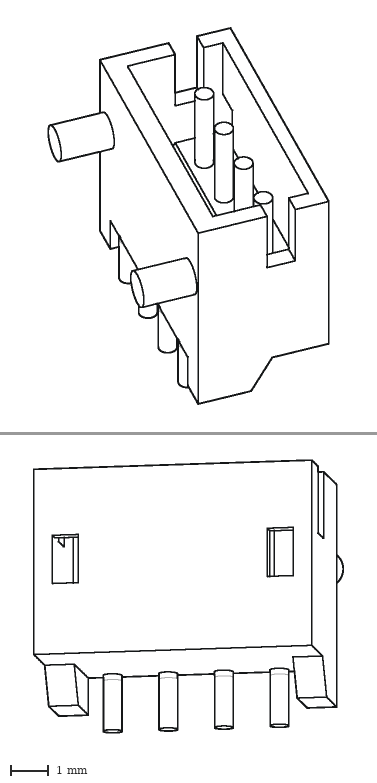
import cadquery as cq

HOUSING_LENGTH = 7.5
HOUSING_DEPTH = 3.7
HOUSING_HEIGHT = 5.0

SIDE_WALL = 0.5
FRONT_WALL = 0.6
BACK_WALL = 0.4
REAR_FLOOR_Z = 1.9
FLOOR_STEP = 0.5
FLOOR_STEP_RUN = 0.3

SLOT_WIDTH = 0.8
SLOT_DEPTH = 1.8
SLOT_TO_BACK = 0.95
WINDOW_WIDTH = 0.7

FOOT_WIDTH = 0.8
FOOT_HEIGHT = 1.0
FOOT_TOP_DEPTH = 2.1
FOOT_BOTTOM_DEPTH = 1.5

PEG_DIAMETER = 1.0
PEG_LENGTH = 1.5
PEG_SPACING = 6.3
PEG_BELOW_TOP = 2.0

PIN_COUNT = 4
PIN_PITCH = 1.5
PIN_DIAMETER = 0.5
PIN_BEND_RADIUS = 0.5
PIN_BELOW_TOP = 0.7
PIN_TO_BACK = 1.3
PIN_BELOW_FOOT = 0.5
TAIL_BEND_START = 0.14

CAVITY_LENGTH = HOUSING_LENGTH - 2 * SIDE_WALL
CAVITY_BACK_Y = HOUSING_DEPTH - BACK_WALL
SLOT_BACK_Y = HOUSING_DEPTH - SLOT_TO_BACK
SLOT_FRONT_Y = SLOT_BACK_Y - SLOT_WIDTH
SLOT_FLOOR_Z = HOUSING_HEIGHT - SLOT_DEPTH
PEG_Z = HOUSING_HEIGHT - PEG_BELOW_TOP


def box_between(x_range, y_range, z_range):
    """Box given by its lower and upper limit along each axis."""
    (x0, x1), (y0, y1), (z0, z1) = x_range, y_range, z_range
    return cq.Workplane("XY").box(x1 - x0, y1 - y0, z1 - z0, centered=False).translate((x0, y0, z0))


def extrude_along_x(outline, x_start, length):
    """Closed (Y, Z) outline extruded from x_start towards +X."""
    return cq.Workplane("YZ", origin=(x_start, 0, 0)).polyline(outline).close().extrude(length)


def make_cavity():
    front_floor_z = REAR_FLOOR_Z - FLOOR_STEP
    outline = [
        (FRONT_WALL, HOUSING_HEIGHT),
        (FRONT_WALL, front_floor_z),
        (SLOT_FRONT_Y - FLOOR_STEP_RUN, front_floor_z),
        (SLOT_FRONT_Y, REAR_FLOOR_Z),
        (CAVITY_BACK_Y, REAR_FLOOR_Z),
        (CAVITY_BACK_Y, HOUSING_HEIGHT),
    ]
    return extrude_along_x(outline, -CAVITY_LENGTH / 2, CAVITY_LENGTH)


def make_slots():
    """Bar across both end walls, which cuts the two slots at once."""
    half_length = HOUSING_LENGTH / 2
    return box_between(
        (-half_length, half_length),
        (SLOT_FRONT_Y, SLOT_BACK_Y),
        (SLOT_FLOOR_Z, HOUSING_HEIGHT),
    )


def make_left_window():
    """Opening through the back wall, in the corner of the cavity."""
    window_left = -CAVITY_LENGTH / 2
    return box_between(
        (window_left, window_left + WINDOW_WIDTH),
        (CAVITY_BACK_Y, HOUSING_DEPTH),
        (REAR_FLOOR_Z, SLOT_FLOOR_Z),
    )


def make_left_foot():
    outline = [
        (0, 0),
        (FOOT_TOP_DEPTH, 0),
        (FOOT_BOTTOM_DEPTH, -FOOT_HEIGHT),
        (0, -FOOT_HEIGHT),
    ]
    return extrude_along_x(outline, -HOUSING_LENGTH / 2, FOOT_WIDTH)


def make_left_peg():
    front = cq.Workplane("XZ").center(-PEG_SPACING / 2, PEG_Z)
    return front.circle(PEG_DIAMETER / 2).extrude(PEG_LENGTH)


def make_pin(x):
    """Round wire: tail down at the front face, level run to the rear, contact up into the cavity."""
    tail_y = PIN_DIAMETER / 2
    contact_y = HOUSING_DEPTH - PIN_TO_BACK
    tail_end_z = -FOOT_HEIGHT - PIN_BELOW_FOOT
    level_z = PIN_BEND_RADIUS - TAIL_BEND_START
    path = (
        cq.Workplane("YZ", origin=(x, 0, 0))
        .moveTo(tail_y, tail_end_z)
        .lineTo(tail_y, -TAIL_BEND_START)
        .tangentArcPoint((tail_y + PIN_BEND_RADIUS, level_z), relative=False)
        .lineTo(contact_y - PIN_BEND_RADIUS, level_z)
        .tangentArcPoint((contact_y, level_z + PIN_BEND_RADIUS), relative=False)
        .lineTo(contact_y, HOUSING_HEIGHT - PIN_BELOW_TOP)
    )
    section = cq.Workplane("XY", origin=(x, tail_y, tail_end_z)).circle(PIN_DIAMETER / 2)
    return section.sweep(path)


def with_mirror(left):
    """The given shape together with its mirror image on the right side."""
    return left.union(left.mirror("YZ"))


def make_housing():
    half_length = HOUSING_LENGTH / 2
    housing = box_between((-half_length, half_length), (0, HOUSING_DEPTH), (0, HOUSING_HEIGHT))
    housing = housing.union(with_mirror(make_left_foot()))
    housing = housing.cut(make_cavity()).cut(make_slots())
    housing = housing.cut(with_mirror(make_left_window()))
    return housing.union(with_mirror(make_left_peg()))


result = make_housing()
for index in range(PIN_COUNT):
    pin_x = (index - (PIN_COUNT - 1) / 2) * PIN_PITCH
    result = result.union(make_pin(pin_x))